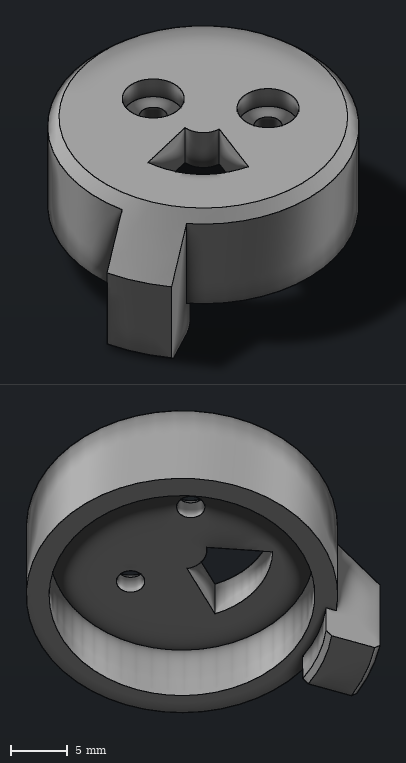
import cadquery as cq
import math

disc_radius = 13.72
disc_height = 10.07
edge_chamfer = 1.0
envelope_margin = 0.3

rim_thickness = 2.0
cavity_radius = disc_radius - rim_thickness
plate_thickness = 4.0

lug_width = 6.0
lug_outer_radius = 31.45 - disc_radius
lug_inner_radius = 12.77
lug_drop = 3.52
lug_tip_chamfer = 0.5

screw_hole_diameter = 2.5
counterbore_diameter = 5.45
counterbore_depth = 2.0
screw_x = 5.0
screw_y_left = 1.0
screw_y_right = 3.0
screw_positions = [(-screw_x, screw_y_left), (screw_x, screw_y_right)]

window_inner_radius = 2.2
window_outer_radius = 8.0
window_start_angle = 255
window_end_angle = 315
window_clearance = 0.5


def revolve_profile(profile):
    return cq.Workplane("XZ").polyline(profile).close().revolve(360, (0, 0), (0, 1))


def make_lug():
    ring = revolve_profile([
        (lug_inner_radius, -lug_drop + lug_tip_chamfer),
        (lug_inner_radius + lug_tip_chamfer, -lug_drop),
        (lug_outer_radius - lug_tip_chamfer, -lug_drop),
        (lug_outer_radius, -lug_drop + lug_tip_chamfer),
        (lug_outer_radius, disc_height),
        (lug_inner_radius, disc_height),
    ])
    slab = (
        cq.Workplane("XY").workplane(offset=-lug_drop)
        .center(0, -lug_outer_radius / 2)
        .rect(lug_width, lug_outer_radius).extrude(lug_drop + disc_height)
    )
    return ring.intersect(slab)


def make_body():
    disc = cq.Workplane("XY").circle(disc_radius).extrude(disc_height)
    top_radius = disc_radius - edge_chamfer
    slope_foot = disc_height - (lug_outer_radius - top_radius)
    envelope_radius = lug_outer_radius + envelope_margin
    envelope_bottom = -lug_drop - envelope_margin
    envelope = revolve_profile([
        (0, envelope_bottom),
        (envelope_radius, envelope_bottom),
        (envelope_radius, slope_foot - envelope_margin),
        (top_radius, disc_height),
        (0, disc_height),
    ])
    return disc.union(make_lug()).intersect(envelope)


def make_cavity():
    return cq.Workplane("XY").circle(cavity_radius).extrude(disc_height - plate_thickness)


def polar(radius, angle):
    return (radius * math.cos(math.radians(angle)), radius * math.sin(math.radians(angle)))


def make_window():
    def widening(radius):
        return math.degrees(math.asin(window_clearance / radius))

    middle_angle = (window_start_angle + window_end_angle) / 2
    inner_start = polar(window_inner_radius, window_start_angle - widening(window_inner_radius))
    outer_start = polar(window_outer_radius, window_start_angle - widening(window_outer_radius))
    inner_end = polar(window_inner_radius, window_end_angle + widening(window_inner_radius))
    outer_end = polar(window_outer_radius, window_end_angle + widening(window_outer_radius))
    return (
        cq.Workplane("XY")
        .moveTo(*inner_start)
        .lineTo(*outer_start)
        .threePointArc(polar(window_outer_radius, middle_angle), outer_end)
        .lineTo(*inner_end)
        .threePointArc(polar(window_inner_radius, middle_angle), inner_start)
        .close()
        .extrude(disc_height)
    )


result = make_body().cut(make_cavity()).cut(make_window())
result = (
    result.faces(">Z").workplane(origin=(0, 0, disc_height))
    .pushPoints(screw_positions)
    .cboreHole(screw_hole_diameter, counterbore_diameter, counterbore_depth)
)